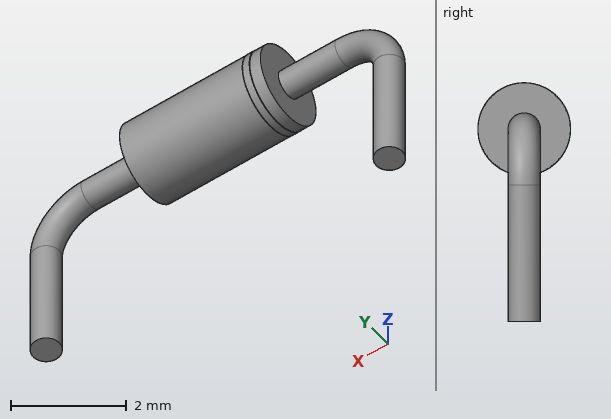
import cadquery as cq

span = 8.0
height = 4.14

housing_diameter = 1.6
housing_length = 3.06

band_diameter = 1.61
band_offset = 0.24
band_width = 0.15
band_thickness = 0.02

wire_diameter = 0.56
bend_radius = 0.97

axis_height = height - band_diameter / 2
housing_end = housing_length / 2
band_start = -housing_end + band_offset
band_inner_diameter = band_diameter - 2 * band_thickness
leg_x = (span - wire_diameter) / 2
bend_x = leg_x - bend_radius
bend_z = axis_height - bend_radius


def cylinder_along_x(start, length, diameter):
    """Cylinder on the housing axis, running from start toward +X."""
    return (
        cq.Workplane("YZ", origin=(start, 0, axis_height))
        .circle(diameter / 2)
        .extrude(length)
    )


def make_band():
    outside = cylinder_along_x(band_start, band_width, band_diameter)
    bore = cylinder_along_x(band_start, band_width, band_inner_diameter)
    return outside.cut(bore)


def make_housing(band):
    """Plain cylinder with the groove that holds the band."""
    blank = cylinder_along_x(-housing_end, housing_length, housing_diameter)
    return blank.cut(band)


def make_lead(side):
    """Wire from a housing end face, bent down to its tip; side is -1 or +1 along X."""
    bend_middle = (
        side * (bend_x + bend_radius * 0.5 ** 0.5),
        bend_z + bend_radius * 0.5 ** 0.5,
    )
    path = (
        cq.Workplane("XZ")
        .moveTo(side * leg_x, 0)
        .lineTo(side * leg_x, bend_z)
        .threePointArc(bend_middle, (side * bend_x, axis_height))
        .lineTo(side * housing_end, axis_height)
    )
    return (
        cq.Workplane("XY", origin=(side * leg_x, 0, 0))
        .circle(wire_diameter / 2)
        .sweep(path)
    )


band = make_band()
housing = make_housing(band)
leads = [make_lead(side) for side in (-1, 1)]

result = cq.Compound.makeCompound(
    [housing.val(), band.val(), *[lead.val() for lead in leads]]
)